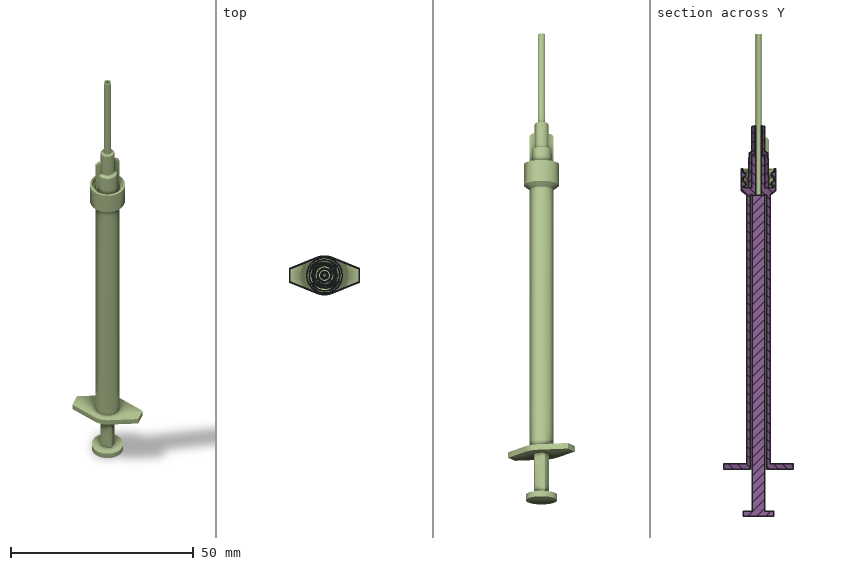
import cadquery as cq
import math

overall_height = 132.0
flange_bottom = 13.0
collar_bottom = 88.0
collar_top = 95.2
collar_floor = 90.0
tip_top = 99.0
hub_step = 99.9
hub_top = 106.8
wing_top = 103.8

button_diameter = 8.6
button_thickness = 1.6
rod_diameter = 4.1
rod_across_flats = 3.4

barrel_diameter = 6.6
barrel_bore = 4.4
flange_length = 19.0
flange_width = 10.5
flange_end_width = 3.7
flange_thickness = 1.6
collar_diameter = 9.6
collar_bore = 8.5
collar_chamfer_height = 1.2
tip_diameter = 3.7
thread_starts = 2
thread_lead = 5.0
thread_depth = 0.8
thread_root_width = 1.6
thread_crest_width = 0.4
thread_exit_angle = 60.0
lead_in_depth = 0.8
tip_bore = 1.3

needle_diameter = 2.0
needle_bore = 1.3
hub_base_diameter = 5.8
hub_shoulder_diameter = 5.3
hub_shoulder_drop = 0.5
hub_upper_diameter = 3.7
hub_rim_height = 0.3
hub_rim_width = 0.1
wing_span = 6.6
wing_thickness = 0.8
wing_chamfer = 0.7
wing_angle = 38.0

bore_top = collar_bottom


def cylinder(diameter, bottom, top):
    """Upright cylinder on the syringe axis."""
    return cq.Workplane("XY").workplane(offset=bottom).circle(diameter / 2).extrude(top - bottom)


def make_plunger():
    """Thumb button with a round rod flattened on four sides."""
    rod = cylinder(rod_diameter, 0, bore_top)
    flats = cq.Workplane("XY").rect(rod_across_flats, rod_across_flats).extrude(bore_top)
    return cylinder(button_diameter, 0, button_thickness).union(rod.intersect(flats))


def make_flange():
    """Finger flange: straight sides running tangent into a round middle."""
    round_radius = flange_width / 2
    end_x = flange_length / 2
    end_y = flange_end_width / 2
    touch = math.atan2(end_y, end_x) + math.acos(round_radius / math.hypot(end_x, end_y))
    touch_x = round_radius * math.cos(touch)
    touch_y = round_radius * math.sin(touch)
    return (
        cq.Workplane("XY")
        .workplane(offset=flange_bottom)
        .moveTo(end_x, -end_y)
        .lineTo(end_x, end_y)
        .lineTo(touch_x, touch_y)
        .threePointArc((0, round_radius), (-touch_x, touch_y))
        .lineTo(-end_x, end_y)
        .lineTo(-end_x, -end_y)
        .lineTo(-touch_x, -touch_y)
        .threePointArc((0, -round_radius), (touch_x, -touch_y))
        .close()
        .extrude(flange_thickness)
    )


def polar(radius, degrees):
    """Point at a radius and an angle about the syringe axis."""
    return radius * math.cos(math.radians(degrees)), radius * math.sin(math.radians(degrees))


def make_threaded_bore():
    """Space inside the collar: a round bore narrowed by right-hand threads, twisted about its axis."""
    depth = collar_top - collar_floor
    twist = 360 * depth / thread_lead
    root_radius = collar_bore / 2
    crest_radius = root_radius - thread_depth
    start_angle = 360 / thread_starts
    root_angle = 360 * thread_root_width / thread_lead
    crest_angle = 360 * thread_crest_width / thread_lead
    flank_angle = (root_angle - crest_angle) / 2
    first = thread_exit_angle - twist
    profile = cq.Workplane("XY").workplane(offset=collar_floor).moveTo(*polar(root_radius, first))
    for start in range(thread_starts):
        ridge = first + start * start_angle
        crest = ridge + flank_angle
        root = ridge + root_angle
        next_ridge = ridge + start_angle
        profile = (
            profile.lineTo(*polar(crest_radius, crest))
            .threePointArc(
                polar(crest_radius, crest + crest_angle / 2), polar(crest_radius, crest + crest_angle)
            )
            .lineTo(*polar(root_radius, root))
            .threePointArc(polar(root_radius, (root + next_ridge) / 2), polar(root_radius, next_ridge))
        )
    return profile.close().twistExtrude(depth, twist)


def make_lead_in():
    """Cone at the collar's mouth that bevels the ends of the threads."""
    mouth_radius = collar_bore / 2
    return (
        cq.Workplane("XZ")
        .moveTo(0, collar_top)
        .lineTo(mouth_radius, collar_top)
        .lineTo(mouth_radius - thread_depth, collar_top - lead_in_depth)
        .lineTo(0, collar_top - lead_in_depth)
        .close()
        .revolve(360, (0, 0, 0), (0, 1, 0))
    )


def make_barrel():
    """Flanged tube with a luer collar around a hollow tip."""
    tube = cylinder(barrel_diameter, flange_bottom, collar_floor)
    chamfer_width = (collar_diameter - barrel_diameter) / 2
    collar = cylinder(collar_diameter, collar_bottom, collar_top)
    collar = collar.faces("<Z").chamfer(collar_chamfer_height, chamfer_width)
    collar = collar.cut(make_threaded_bore()).cut(make_lead_in())
    tip = cylinder(tip_diameter, collar_floor, tip_top)
    barrel = make_flange().union(tube).union(collar).union(tip)
    barrel = barrel.cut(cylinder(barrel_bore, flange_bottom, bore_top))
    return barrel.cut(cylinder(tip_bore, bore_top, tip_top))


def make_hub():
    """Stepped needle hub with two wings, hollow to fit the tip and the needle."""
    body = (
        cq.Workplane("XZ")
        .moveTo(0, collar_floor)
        .lineTo(hub_base_diameter / 2, collar_floor)
        .lineTo(hub_shoulder_diameter / 2, hub_step - hub_shoulder_drop)
        .lineTo(hub_upper_diameter / 2, hub_step)
        .lineTo(hub_upper_diameter / 2, hub_top - hub_rim_height)
        .lineTo(hub_upper_diameter / 2 - hub_rim_width, hub_top)
        .lineTo(0, hub_top)
        .close()
        .revolve(360, (0, 0, 0), (0, 1, 0))
    )
    wings = (
        cq.Workplane("XY")
        .workplane(offset=collar_floor)
        .rect(wing_span, wing_thickness)
        .extrude(wing_top - collar_floor)
        .faces(">Z")
        .edges("|Y")
        .chamfer(wing_chamfer)
        .rotate((0, 0, 0), (0, 0, 1), wing_angle)
    )
    hub = body.union(wings)
    hub = hub.cut(cylinder(tip_diameter, collar_floor, tip_top))
    return hub.cut(cylinder(needle_diameter, tip_top, hub_top))


def make_needle():
    """Hollow needle standing on the tip."""
    return cylinder(needle_diameter, tip_top, overall_height).cut(
        cylinder(needle_bore, tip_top, overall_height)
    )


plunger = make_plunger()
barrel = make_barrel()
hub = make_hub()
needle = make_needle()

result = cq.Compound.makeCompound([plunger.val(), barrel.val(), hub.val(), needle.val()])